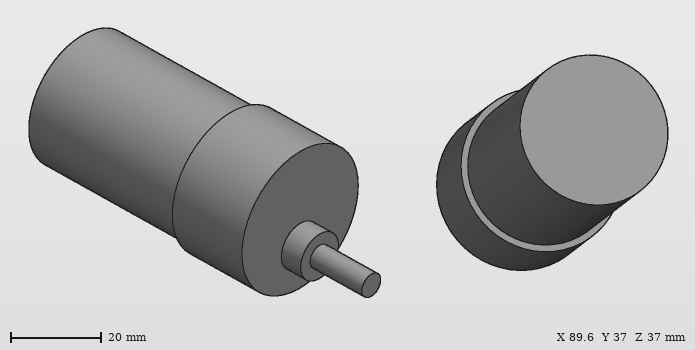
import cadquery as cq

overall_length = 89.6

motor_diameter = 34.0
motor_length = 46.0
gearbox_diameter = 37.0
gearbox_length = 21.6
boss_diameter = 12.0
boss_length = 6.0
shaft_diameter = 6.0
shaft_drop = 7.0

gearbox_start = motor_length
gearbox_end = gearbox_start + gearbox_length
boss_end = gearbox_end + boss_length


def cylinder_along_x(diameter, x_start, x_end, z_center=0.0):
    """Return a solid cylinder between two X positions."""
    section = cq.Workplane("YZ", origin=(x_start, 0, z_center)).circle(diameter / 2)
    return section.extrude(x_end - x_start)


motor = cylinder_along_x(motor_diameter, 0, gearbox_start)
gearbox = cylinder_along_x(gearbox_diameter, gearbox_start, gearbox_end)

boss = cylinder_along_x(boss_diameter, gearbox_end, boss_end, -shaft_drop)
shaft = cylinder_along_x(shaft_diameter, boss_end, overall_length, -shaft_drop)

result = motor.union(gearbox).union(boss).union(shaft)